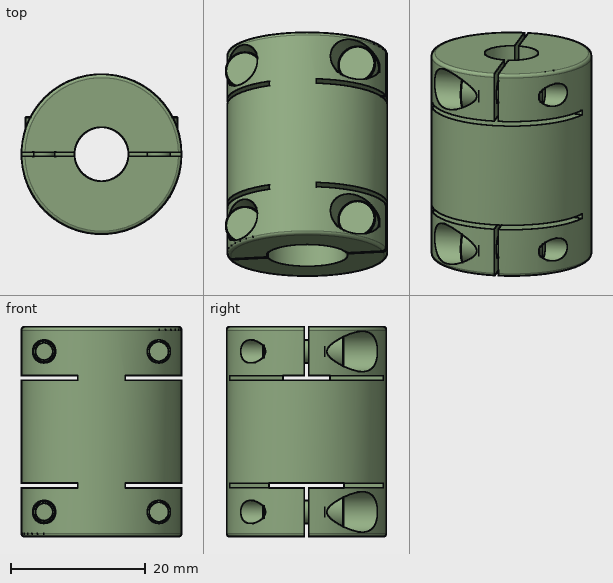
import cadquery as cq


length = 31.2
body_radius = 23.8 / 2
half_length = length / 2
hub_length = 10.98
end_fillet = 0.5
upper_bore_radius = 4.0
lower_bore_radius = 6.0

slot_depth = 7.27
slot_width = 0.7
slot_cutter_radius = 38.72
slot_cutter_offset = 40.55

slit_width = 0.62

screw_spacing = 17.05
screw_depth = 3.68
screw_hole_radius = 1.72
left_shank_radius = 1.55
right_shank_radius = screw_hole_radius
screw_end_y = -6.52
screw_end_chamfer = 0.28
head_radius = 2.8
head_chamfer = 0.15
head_seat_y = 2.75
head_top_y = 5.55
counterbore_radius = 3.0


def y_cylinder(radius, y_start, y_end, x, z):
    """Cylinder parallel to Y between two Y positions."""
    plane = cq.Plane(origin=(x, y_start, z), xDir=(1, 0, 0), normal=(0, 1, 0))
    return cq.Workplane(plane).circle(radius).extrude(y_end - y_start)


def make_body():
    """Round body with rounded ends and a stepped bore."""
    body = cq.Workplane("XY").circle(body_radius).extrude(length).translate((0, 0, -half_length))
    body = body.faces("<Z or >Z").edges().fillet(end_fillet)
    upper_bore = cq.Workplane("XY").circle(upper_bore_radius).extrude(length)
    lower_bore = cq.Workplane("XY").circle(lower_bore_radius).extrude(hub_length)
    body = body.cut(upper_bore.translate((0, 0, -half_length)))
    return body.cut(lower_bore.translate((0, 0, -half_length)))


def make_slit(end):
    """Slit across the hub, from the end face (end = 1 top, -1 bottom) into the relief slot."""
    slit_depth = slot_depth + slot_width / 2
    slit = cq.Workplane("XY").box(2 * body_radius, slit_width, slit_depth)
    return slit.translate((0, 0, end * (half_length - slit_depth / 2)))


def make_relief_slot(end, side):
    """Relief slot on one X side, bounded by a large arc that forms the side of both necks."""
    slot = cq.Workplane("XY").circle(slot_cutter_radius).extrude(slot_width / 2, both=True)
    slot_z = end * (half_length - slot_depth - slot_width / 2)
    return slot.translate((side * slot_cutter_offset, 0, slot_z))


def make_screw_hole(x, z):
    """Through hole with a counterbore open towards +Y."""
    hole = y_cylinder(screw_hole_radius, -body_radius, body_radius, x, z)
    return hole.union(y_cylinder(counterbore_radius, head_seat_y, body_radius, x, z))


def make_screw(shank_radius, x, z):
    """Screw with its head on the counterbore seat and its tip short of the hole's -Y mouth."""
    shank = y_cylinder(shank_radius, screw_end_y, head_seat_y, x, z)
    shank = shank.faces("<Y").chamfer(screw_end_chamfer)
    head = y_cylinder(head_radius, head_seat_y, head_top_y, x, z)
    head = head.faces(">Y").chamfer(head_chamfer)
    return shank.union(head)


result = make_body()
for end in (1, -1):
    screw_z = end * (half_length - screw_depth)
    result = result.cut(make_slit(end))
    for side, shank_radius in ((-1, left_shank_radius), (1, right_shank_radius)):
        screw_x = side * screw_spacing / 2
        result = result.cut(make_relief_slot(end, side))
        result = result.cut(make_screw_hole(screw_x, screw_z))
        result = result.union(make_screw(shank_radius, screw_x, screw_z))